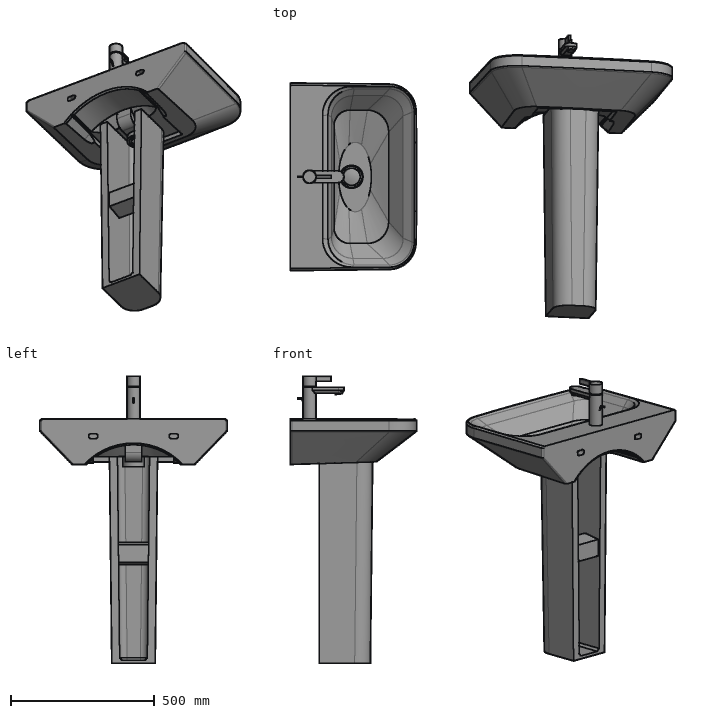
import cadquery as cq
import math


TOTAL_HEIGHT = 999.0

DECK_Z = 850.0
RIM_BASE_Z = 805.0
BASIN_BASE_Z = 691.0
BASE_RISE = 9.0
RIM_EDGE_HEIGHT = 6.0
RIM_EDGE_WIDTH = 8.0
RIM_LOWER_EDGE = 4.0
WALL_EDGE = 6.0
RIM_FRONT = 441.0
RIM_HALF_WIDTH = 327.0
RIM_FRONT_HALF_WIDTH = 322.0
RIM_CORNER_RADIUS = 96.0
BASE_FRONT = 288.0
BASE_HALF_WIDTH = 213.0
BASE_FRONT_HALF_WIDTH = 206.0
BASE_CORNER_RADIUS = 68.0
FRONT_BOW = 6.0

BOWL_SECTIONS = [
    (DECK_Z, 113.0, 432.0, 314.0, 100.0, 84.0),
    (843.0, 132.0, 423.0, 306.0, 90.0, 80.0),
    (822.0, 143.0, 392.0, 283.0, 75.0, 70.0),
    (769.0, 153.0, 343.0, 232.0, 55.0, 75.0),
]
BOWL_FLOOR_Z = 737.0
BOWL_FLOOR_BACK = 169.0
BOWL_FLOOR_FRONT = 283.0
BOWL_FLOOR_HALF_WIDTH = 121.0
FLOOR_ARCS = 8
FLOOR_ARC_ANGLE = 360 / FLOOR_ARCS

ARCH_HALF_WIDTH = 171.0
ARCH_CROWN_Z = 766.0
ARCH_STRAIGHT = 120.0
ARCH_END_X = 155.0
ARCH_END_CROWN_Z = 722.0
TRAY_HALF_WIDTH = 140.0
TRAY_FRONT = 280.0

SLOT_SPACING = 280.0
SLOT_LENGTH = 32.0
SLOT_HEIGHT = 18.0
SLOT_DEPTH = 30.0
SLOT_Z = 790.0

DRAIN_X = 214.0
FLANGE_DIAMETER = 80.0
FLANGE_THICKNESS = 6.0
FLANGE_PROUD = 2.0
FLANGE_TOP_Z = BOWL_FLOOR_Z + FLANGE_PROUD
FLANGE_EDGE = 3.0
TAIL_DIAMETER = 60.0
TAIL_BORE = 44.0
BOSS_DIAMETER = 76.0
BOSS_BASE_Z = 683.0
PLUG_DIAMETER = 60.0
PLUG_RIM_DEPTH = 4.0
PLUG_DOME = 5.0
PLUG_STEM_DIAMETER = 20.0
PLUG_STEM_LENGTH = 30.0
CHANNEL_BACK = 120.0
CHANNEL_WIDTH = 56.0
CHANNEL_BASE_Z = 701.0
CHANNEL_BEND_RADIUS = 33.0

PEDESTAL_BACK = 101.0
PEDESTAL_TOP_Z = 718.0
PEDESTAL_BASE_FRONT = 280.0
PEDESTAL_TOP_FRONT = 288.0
PEDESTAL_BASE_HALF_WIDTH = 76.0
PEDESTAL_TOP_HALF_WIDTH = 84.0
PEDESTAL_CORNER_RADIUS = 56.0
SIDE_WALL = 28.0
FRONT_WALL = 20.0
CAVITY_CORNER_RADIUS = 25.0
PEDESTAL_FLOOR = 11.0
FLOOR_EDGE = 9.0
SHELF_BACK = 109.0
SHELF_FRONT = 174.0
SHELF_MID_Z = 383.0
SHELF_BACK_HEIGHT = 60.0
SHELF_FRONT_HEIGHT = 79.0

TAP_X = 68.0
COLUMN_DIAMETER = 46.0
COLUMN_TOP_Z = 961.0
NECK_DIAMETER = 44.0
NECK_HEIGHT = 3.0
SPOUT_END = 188.0
SPOUT_WIDTH = 42.0
SPOUT_HEIGHT = 22.0
SPOUT_EDGE_HEIGHT = 10.0
SPOUT_EDGE_WIDTH = 7.0
LEVER_END = 143.0
LEVER_WIDTH = 9.0
LEVER_HEIGHT = 18.0
LEVER_EDGE = 2.0
AERATOR_X = 170.0
AERATOR_DIAMETER = 25.0
AERATOR_LENGTH = 10.0
AERATOR_TIP_Z = 936.0
AERATOR_TILT = 7.0
ROD_DIAMETER = 4.0
ROD_END_X = 26.0
ROD_BEND_X = 40.0
ROD_FOOT_X = 50.0
ROD_TOP_Z = 921.0
ROD_FOOT_Z = 906.0


def rounded_outline(z, back, front, half_back, half_front, back_radius, front_radius, bow=0.0):
    """Closed outline at height z, tapering and bowing to the front; a zero radius leaves a corner sharp."""
    side_x = front - bow
    corners = [
        cq.Vector(back, -half_back, z),
        cq.Vector(side_x, -half_front, z),
        cq.Vector(side_x, half_front, z),
        cq.Vector(back, half_back, z),
    ]
    if bow:
        front_edge = cq.Edge.makeThreePointArc(corners[1], cq.Vector(front, 0, z), corners[2])
    else:
        front_edge = cq.Edge.makeLine(corners[1], corners[2])
    outline = cq.Wire.assembleEdges([
        cq.Edge.makeLine(corners[0], corners[1]),
        front_edge,
        cq.Edge.makeLine(corners[2], corners[3]),
        cq.Edge.makeLine(corners[3], corners[0]),
    ])
    middle_x = (back + front) / 2
    for radius, at_front in ((back_radius, False), (front_radius, True)):
        if radius:
            ends = [v for v in outline.Vertices() if (v.X > middle_x) == at_front]
            outline = outline.fillet2D(radius, ends)
    return outline


def loft(sections):
    """Solid through the sections, with straight walls from each one to the next."""
    return cq.Workplane(cq.Solid.makeLoft(sections, True))


def cylinder(diameter, base_z, top_z, x):
    return cq.Workplane("XY", origin=(x, 0, base_z)).circle(diameter / 2).extrude(top_z - base_z)



def rim_outline(z, inset=0.0):
    """Outline of the rim at height z, optionally drawn in from the front and the sides."""
    return rounded_outline(
        z, 0, RIM_FRONT - inset, RIM_HALF_WIDTH - inset, RIM_FRONT_HALF_WIDTH - inset,
        WALL_EDGE, RIM_CORNER_RADIUS - inset, FRONT_BOW
    )


def basin_blank():
    base_outline = rounded_outline(
        BASIN_BASE_Z, 0, BASE_FRONT, BASE_HALF_WIDTH, BASE_FRONT_HALF_WIDTH,
        WALL_EDGE, BASE_CORNER_RADIUS, FRONT_BOW
    )
    blank = loft([
        base_outline,
        rim_outline(RIM_BASE_Z, RIM_LOWER_EDGE),
        rim_outline(RIM_BASE_Z + RIM_LOWER_EDGE),
        rim_outline(DECK_Z - RIM_EDGE_HEIGHT),
        rim_outline(DECK_Z, RIM_EDGE_WIDTH),
    ])
    wedge = (
        cq.Workplane("XZ")
        .polyline([(0, BASIN_BASE_Z), (RIM_FRONT, BASIN_BASE_Z),
                   (RIM_FRONT, BASIN_BASE_Z + BASE_RISE * RIM_FRONT / BASE_FRONT)])
        .close()
        .extrude(RIM_HALF_WIDTH, both=True)
    )
    return blank.cut(wedge)


def bowl_floor_outline():
    """Ellipse in eight arcs, one for each side and corner of the rounded sections above it."""
    center = cq.Vector((BOWL_FLOOR_BACK + BOWL_FLOOR_FRONT) / 2, 0, BOWL_FLOOR_Z)
    half_length = (BOWL_FLOOR_FRONT - BOWL_FLOOR_BACK) / 2
    arcs = [
        cq.Edge.makeEllipse(
            BOWL_FLOOR_HALF_WIDTH, half_length, center, cq.Vector(0, 0, 1), cq.Vector(0, 1, 0),
            FLOOR_ARC_ANGLE * (index - 0.5), FLOOR_ARC_ANGLE * (index + 0.5)
        )
        for index in range(FLOOR_ARCS)
    ]
    return cq.Wire.assembleEdges(arcs)


def bowl_cavity():
    sections = [
        rounded_outline(z, back, front, half, half, back_radius, front_radius)
        for z, back, front, half, back_radius, front_radius in BOWL_SECTIONS
    ]
    return loft(sections + [bowl_floor_outline()])


def arch_section(x, crown_z, half_width):
    left = cq.Vector(x, -half_width, BASIN_BASE_Z)
    right = cq.Vector(x, half_width, BASIN_BASE_Z)
    return cq.Wire.assembleEdges([
        cq.Edge.makeThreePointArc(left, cq.Vector(x, 0, crown_z), right),
        cq.Edge.makeLine(right, left),
    ])


def underside_hollow():
    wall_arch = arch_section(0, ARCH_CROWN_Z, ARCH_HALF_WIDTH)
    throat_arch = arch_section(WALL_EDGE, ARCH_CROWN_Z - WALL_EDGE, ARCH_HALF_WIDTH - WALL_EDGE)
    inner_arch = arch_section(ARCH_STRAIGHT, ARCH_CROWN_Z - WALL_EDGE, ARCH_HALF_WIDTH - WALL_EDGE)
    end_arch = arch_section(ARCH_END_X, ARCH_END_CROWN_Z, ARCH_HALF_WIDTH - WALL_EDGE)
    tray = cq.Workplane("XY", origin=(0, 0, BASIN_BASE_Z)).rect(2 * TRAY_FRONT, 2 * TRAY_HALF_WIDTH)
    tray = tray.extrude(PEDESTAL_TOP_Z - BASIN_BASE_Z)
    return loft([wall_arch, throat_arch, inner_arch, end_arch]).union(tray)


def drain_boss():
    boss = cylinder(BOSS_DIAMETER, BOSS_BASE_Z, BOWL_FLOOR_Z - FLANGE_THICKNESS, DRAIN_X)
    channel_length = DRAIN_X - CHANNEL_BACK
    channel_height = ARCH_CROWN_Z - CHANNEL_BASE_Z
    channel = (
        cq.Workplane("XY")
        .box(channel_length, CHANNEL_WIDTH, channel_height, centered=(False, True, False))
        .translate((CHANNEL_BACK, 0, CHANNEL_BASE_Z))
        .edges("<X and <Z")
        .fillet(CHANNEL_BEND_RADIUS)
    )
    return boss.union(channel)


def fixing_slots():
    return (
        cq.Workplane("YZ", origin=(0, 0, SLOT_Z))
        .pushPoints([(-SLOT_SPACING / 2, 0), (SLOT_SPACING / 2, 0)])
        .slot2D(SLOT_LENGTH, SLOT_HEIGHT)
        .extrude(SLOT_DEPTH)
    )


def make_basin():
    basin = basin_blank().cut(underside_hollow())
    basin = basin.cut(pedestal_envelope()).union(drain_boss())
    return basin.cut(bowl_cavity()).cut(fixing_slots()).cut(drain_envelope())



def drain_envelope():
    flange = cylinder(FLANGE_DIAMETER, FLANGE_TOP_Z - FLANGE_THICKNESS, FLANGE_TOP_Z, DRAIN_X)
    return flange.union(cylinder(TAIL_DIAMETER, BOSS_BASE_Z, FLANGE_TOP_Z, DRAIN_X))


def make_drain_body():
    body = drain_envelope().faces(">Z").edges().chamfer(FLANGE_EDGE)
    seat = cylinder(PLUG_DIAMETER, FLANGE_TOP_Z - PLUG_RIM_DEPTH, FLANGE_TOP_Z, DRAIN_X)
    return body.cut(seat).cut(cylinder(TAIL_BORE, BOSS_BASE_Z, FLANGE_TOP_Z, DRAIN_X))


def make_plug():
    radius = PLUG_DIAMETER / 2
    stem_radius = PLUG_STEM_DIAMETER / 2
    rim_base = -PLUG_RIM_DEPTH
    dome_radius = (radius ** 2 + PLUG_DOME ** 2) / (2 * PLUG_DOME)
    half_way = radius / 2
    half_way_z = PLUG_DOME - dome_radius + math.sqrt(dome_radius ** 2 - half_way ** 2)
    return (
        cq.Workplane("XZ", origin=(DRAIN_X, 0, FLANGE_TOP_Z))
        .moveTo(0, PLUG_DOME)
        .threePointArc((half_way, half_way_z), (radius, 0))
        .lineTo(radius, rim_base)
        .lineTo(stem_radius, rim_base)
        .lineTo(stem_radius, rim_base - PLUG_STEM_LENGTH)
        .lineTo(0, rim_base - PLUG_STEM_LENGTH)
        .close()
        .revolve(360, (0, 0, 0), (0, 1, 0))
    )



def pedestal_section(z, inset_side=0.0, inset_front=0.0, corner_radius=PEDESTAL_CORNER_RADIUS):
    """Horizontal section of the tapering column, or of its cavity when inset from the outer faces."""
    share = z / PEDESTAL_TOP_Z
    front = PEDESTAL_BASE_FRONT + share * (PEDESTAL_TOP_FRONT - PEDESTAL_BASE_FRONT)
    half = PEDESTAL_BASE_HALF_WIDTH + share * (PEDESTAL_TOP_HALF_WIDTH - PEDESTAL_BASE_HALF_WIDTH)
    half -= inset_side
    return rounded_outline(z, PEDESTAL_BACK, front - inset_front, half, half, 0, corner_radius)


def pedestal_envelope():
    return loft([pedestal_section(0), pedestal_section(PEDESTAL_TOP_Z)])


def pedestal_cavity():
    cavity = loft([
        pedestal_section(z, SIDE_WALL, FRONT_WALL, CAVITY_CORNER_RADIUS)
        for z in (PEDESTAL_FLOOR, PEDESTAL_TOP_Z)
    ])
    return cavity.faces("<Z").edges("not <X").chamfer(FLOOR_EDGE)


def shelf():
    back_half = SHELF_BACK_HEIGHT / 2
    front_half = SHELF_FRONT_HEIGHT / 2
    return (
        cq.Workplane("XZ", origin=(0, 0, SHELF_MID_Z))
        .polyline([(SHELF_BACK, -back_half), (SHELF_FRONT, -front_half),
                   (SHELF_FRONT, front_half), (SHELF_BACK, back_half)])
        .close()
        .extrude(PEDESTAL_BASE_HALF_WIDTH - SIDE_WALL / 2, both=True)
    )


def make_pedestal():
    return pedestal_envelope().cut(pedestal_cavity()).union(shelf())



def spout():
    end_radius = SPOUT_WIDTH / 2
    base_z = COLUMN_TOP_Z - SPOUT_HEIGHT
    bar = (
        cq.Workplane("XY", origin=(0, 0, base_z))
        .moveTo(TAP_X, -end_radius)
        .lineTo(SPOUT_END - end_radius, -end_radius)
        .threePointArc((SPOUT_END, 0), (SPOUT_END - end_radius, end_radius))
        .lineTo(TAP_X, end_radius)
        .close()
        .extrude(SPOUT_HEIGHT)
    )
    return bar.faces("<Z").edges("not <X").chamfer(SPOUT_EDGE_HEIGHT, SPOUT_EDGE_WIDTH)


def make_aerator():
    return (
        cq.Workplane("XY")
        .circle(AERATOR_DIAMETER / 2)
        .extrude(AERATOR_LENGTH)
        .rotate((0, 0, 0), (0, 1, 0), -AERATOR_TILT)
        .translate((AERATOR_X, 0, AERATOR_TIP_Z))
    )


def make_lift_rod():
    path = (
        cq.Workplane("XZ")
        .moveTo(ROD_END_X, ROD_TOP_Z)
        .lineTo(ROD_BEND_X, ROD_TOP_Z)
        .lineTo(ROD_FOOT_X, ROD_FOOT_Z)
    )
    profile = cq.Workplane("YZ", origin=(ROD_END_X, 0, ROD_TOP_Z)).circle(ROD_DIAMETER / 2)
    return profile.sweep(path, transition="round")


def make_tap_body():
    column = cylinder(COLUMN_DIAMETER, DECK_Z, COLUMN_TOP_Z, TAP_X)
    return column.union(spout()).cut(make_aerator()).cut(make_lift_rod())


def make_handle():
    cap_base_z = COLUMN_TOP_Z + NECK_HEIGHT
    neck = cylinder(NECK_DIAMETER, COLUMN_TOP_Z, cap_base_z, TAP_X)
    cap = cylinder(COLUMN_DIAMETER, cap_base_z, TOTAL_HEIGHT, TAP_X)
    lever = (
        cq.Workplane("XY")
        .box(LEVER_END - TAP_X, LEVER_WIDTH, LEVER_HEIGHT, centered=(False, True, False))
        .edges("|X")
        .fillet(LEVER_EDGE)
        .translate((TAP_X, 0, TOTAL_HEIGHT - LEVER_HEIGHT))
    )
    return neck.union(cap).union(lever)


basin = make_basin()
pedestal = make_pedestal()
drain_body = make_drain_body()
plug = make_plug()
tap_body = make_tap_body()
handle = make_handle()
aerator = make_aerator()
lift_rod = make_lift_rod()

result = cq.Compound.makeCompound([
    basin.val(),
    pedestal.val(),
    drain_body.val(),
    plug.val(),
    tap_body.val(),
    handle.val(),
    aerator.val(),
    lift_rod.val(),
])